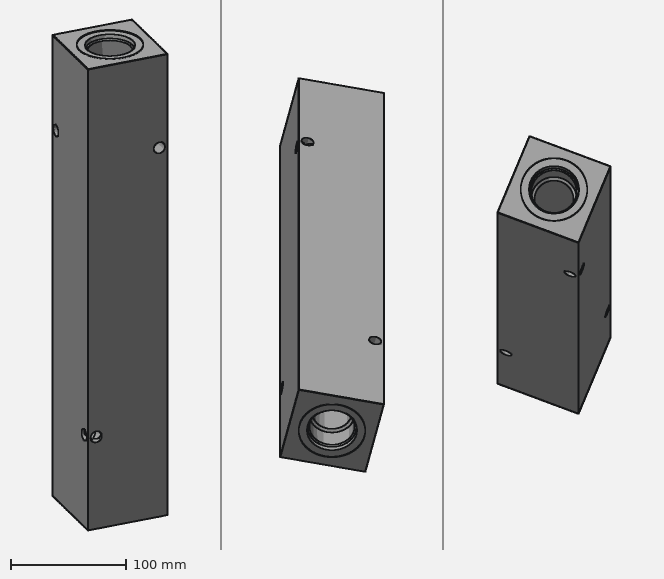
import cadquery as cq

width = 76.0
length = 444.5
edge_chamfer = 0.5

bore_diameter = 34.0
spotface_diameter = 58.0
spotface_depth = 1.0
mouth_diameter = 43.5
mouth_depth = 3.5
throat_diameter = 42.0
throat_depth = 1.5
port_diameter = 39.0
port_depth = 22.2
floor_taper_depth = 2.0

cross_hole_diameter = 10.5
cross_hole_edge_distance = 8.0
cross_hole_end_distance = 89.0

cross_hole_offset = width / 2 - cross_hole_edge_distance
cross_hole_height = length / 2 - cross_hole_end_distance


def port_cutter():
    """Spotface, tapered mouth, counterbore and tapered floor, revolved about the bore axis."""
    top = length / 2
    seat = top - spotface_depth
    throat = seat - mouth_depth
    port_start = throat - throat_depth
    port_end = seat - port_depth
    bore_start = port_end - floor_taper_depth
    profile = (
        cq.Workplane("XZ")
        .moveTo(0, top)
        .lineTo(spotface_diameter / 2, top)
        .lineTo(spotface_diameter / 2, seat)
        .lineTo(mouth_diameter / 2, seat)
        .lineTo(throat_diameter / 2, throat)
        .lineTo(port_diameter / 2, port_start)
        .lineTo(port_diameter / 2, port_end)
        .lineTo(bore_diameter / 2, bore_start)
        .lineTo(0, bore_start)
        .close()
    )
    return profile.revolve(360, (0, 0, 0), (0, 1, 0))


def cross_holes(plane, positions):
    """Through holes across the block, centred on the given plane."""
    return cq.Workplane(plane).pushPoints(positions).circle(cross_hole_diameter / 2).extrude(width, both=True)


result = cq.Workplane("XY").box(width, width, length).edges().chamfer(edge_chamfer)

bore = cq.Workplane("XY").circle(bore_diameter / 2).extrude(length, both=True)
top_port = port_cutter()
bottom_port = top_port.mirror("XY")
result = result.cut(bore).cut(top_port).cut(bottom_port)

front_positions = [
    (-cross_hole_offset, cross_hole_height),
    (cross_hole_offset, -cross_hole_height),
]
side_positions = [
    (cross_hole_offset, cross_hole_height),
    (-cross_hole_offset, -cross_hole_height),
]
result = result.cut(cross_holes("XZ", front_positions)).cut(cross_holes("YZ", side_positions))